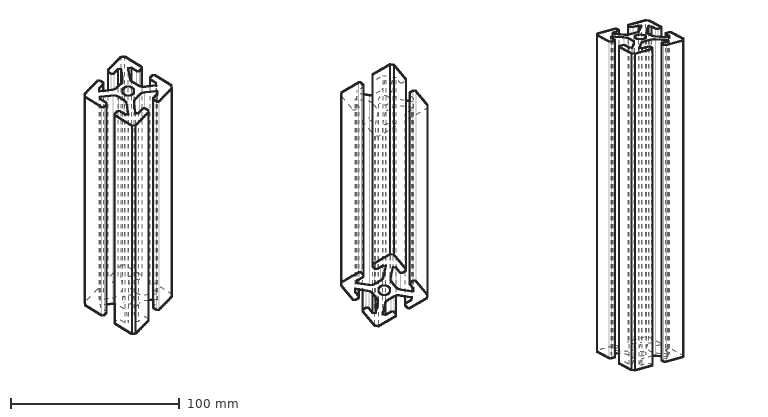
import cadquery as cq

length = 203.2
side = 38.2
bore_diameter = 7.0
slot_opening = 8.1
lip_thickness = 4.3
pocket_end_width = 1.8
core_width = 13.8
web_thickness = 4.3

corner_chamfer = 1.6
lip_radius = 1.2
core_radius = 4.3

half_side = side / 2
half_opening = slot_opening / 2
half_core = core_width / 2
lip_inner = half_side - lip_thickness
web_offset = web_thickness / 2 * 2**0.5
pocket_end_run = pocket_end_width / 2**0.5
pocket_tip_y = lip_inner - pocket_end_run
pocket_tip_x = pocket_tip_y - web_offset


def vertical_edges_at(points):
    """Select the upright edges passing through the given (x, y) points."""
    reach = 0.1
    selector = None
    for x, y in points:
        box = cq.selectors.BoxSelector((x - reach, y - reach, 0), (x + reach, y + reach, length))
        selector = box if selector is None else selector + box
    return selector


def slot_cutter():
    """T-slot open towards +Y, its pocket ending at 45 degrees and its floor sloping along the webs."""
    overshoot = 4.0
    right_side = [
        (half_opening, half_side + overshoot),
        (half_opening, lip_inner),
        (pocket_tip_x - pocket_end_run, lip_inner),
        (pocket_tip_x, pocket_tip_y),
        (half_core - web_offset, half_core),
    ]
    left_side = [(-x, y) for x, y in reversed(right_side)]
    cutter = cq.Workplane("XY").polyline(right_side + left_side).close().extrude(length)

    core_corners = [(s * (half_core - web_offset), half_core) for s in (-1, 1)]
    return cutter.edges(vertical_edges_at(core_corners)).fillet(core_radius)


profile = cq.Workplane("XY").rect(side, side).extrude(length)
profile = profile.edges("|Z").chamfer(corner_chamfer)

lip_corners = [(s * half_opening, y) for s in (-1, 1) for y in (half_side, lip_inner)]
for _ in range(4):
    profile = profile.cut(slot_cutter())
    profile = profile.edges(vertical_edges_at(lip_corners)).fillet(lip_radius)
    profile = profile.rotate((0, 0, 0), (0, 0, 1), 90)

result = profile.faces(">Z").workplane(origin=(0, 0, length)).hole(bore_diameter)